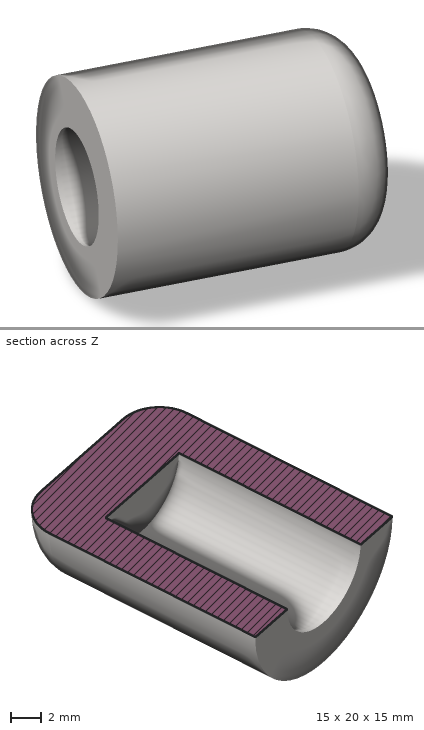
import cadquery as cq

outer_diameter = 15.0
length = 20.0
end_radius = 3.0
bore_diameter = 8.0
end_wall = 5.0
bore_depth = length - end_wall


def cylinder_along_y(diameter, height):
    """Solid cylinder on the Y axis, from Y = 0 to Y = height."""
    return cq.Workplane("XZ").circle(diameter / 2).extrude(-height)


body = cylinder_along_y(outer_diameter, length).faces(">Y").edges().fillet(end_radius)
blind_bore = cylinder_along_y(bore_diameter, bore_depth)

result = body.cut(blind_bore)